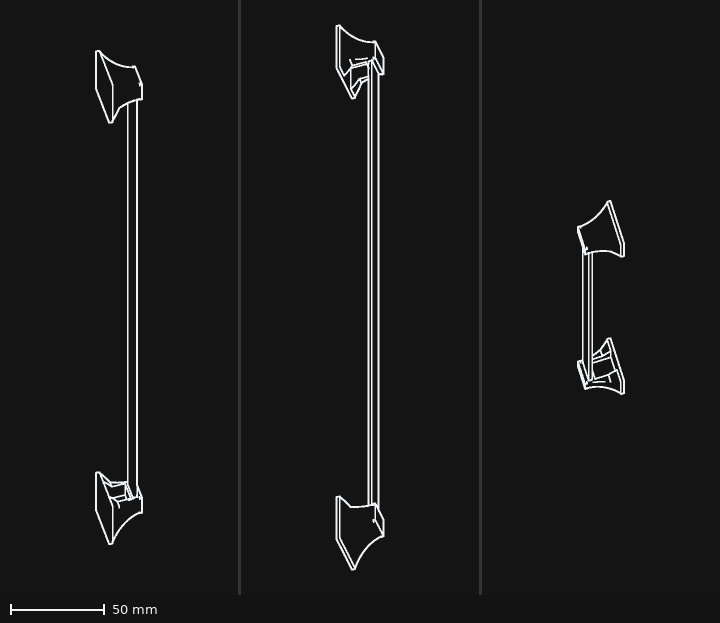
import cadquery as cq

RAIL_LENGTH = 393.7
RAIL_DEPTH = 20.0

PLATE_WIDTH = 25.0
PLATE_HEIGHT = 32.5
PLATE_THICKNESS = 2.0
PLATE_CORNER_RADIUS = 0.8
PLATE_EDGE_RADIUS = 0.5

FOOT_INSET = 0.5

POST_END_WIDTH = 13.0
POST_END_OUTER = 2.95
POST_END_INNER = 10.0
INNER_FLARE_DEPTH = 6.5
END_CAP_THICKNESS = 1.0
SIDE_FLARE_SAG = 1.4
OUTER_FLARE_SAG = 2.15
INNER_FLARE_SAG = 0.28
POST_EDGE_RADIUS = 1.0

BAR_WIDTH = 10.5
BAR_THICKNESS = 2.5
BAR_BACK = 17.7
BAR_EDGE_RADIUS = 1.0
SOCKET_DEPTH = 4.0

POCKET_WIDTH = BAR_WIDTH
POCKET_DEPTH = 10.0
POCKET_GAP = 1.0

PLATE_CENTER_Z = (RAIL_LENGTH - PLATE_HEIGHT) / 2
BAR_LENGTH = 2 * (PLATE_CENTER_Z - POST_END_INNER + SOCKET_DEPTH)
BAR_FRONT = BAR_BACK - BAR_THICKNESS
FLARE_END = RAIL_DEPTH - END_CAP_THICKNESS


def make_plate():
    """Upper end plate with rounded edges."""
    return (
        cq.Workplane("XY")
        .box(PLATE_WIDTH, PLATE_THICKNESS, PLATE_HEIGHT, centered=(True, False, True))
        .edges("|Y")
        .fillet(PLATE_CORNER_RADIUS)
        .faces("<Y or >Y")
        .edges()
        .fillet(PLATE_EDGE_RADIUS)
        .translate((0, 0, PLATE_CENTER_Z))
    )


def make_bar():
    """Flat bar with the two long front edges rounded."""
    return (
        cq.Workplane("XY")
        .box(BAR_WIDTH, BAR_THICKNESS, BAR_LENGTH, centered=(True, False, True))
        .translate((0, BAR_FRONT, 0))
        .edges("|Z and <Y")
        .fillet(BAR_EDGE_RADIUS)
    )


def make_side_profile():
    """Post outline across the depth and height, as a block of the full plate width."""
    foot_half_height = PLATE_HEIGHT / 2 - FOOT_INSET
    return (
        cq.Workplane("YZ")
        .moveTo(PLATE_THICKNESS, -foot_half_height)
        .sagittaArc((INNER_FLARE_DEPTH, -POST_END_INNER), -INNER_FLARE_SAG)
        .lineTo(RAIL_DEPTH, -POST_END_INNER)
        .lineTo(RAIL_DEPTH, POST_END_OUTER)
        .sagittaArc((PLATE_THICKNESS, foot_half_height), OUTER_FLARE_SAG)
        .close()
        .extrude(PLATE_WIDTH / 2, both=True)
    )


def make_flare():
    """Body of the post: both flared profiles crossed, with the long edges rounded."""
    foot_half_width = PLATE_WIDTH / 2 - FOOT_INSET
    width_profile = (
        cq.Workplane("XY")
        .moveTo(-foot_half_width, PLATE_THICKNESS)
        .lineTo(foot_half_width, PLATE_THICKNESS)
        .sagittaArc((POST_END_WIDTH / 2, FLARE_END), SIDE_FLARE_SAG)
        .lineTo(-POST_END_WIDTH / 2, FLARE_END)
        .sagittaArc((-foot_half_width, PLATE_THICKNESS), SIDE_FLARE_SAG)
        .close()
        .extrude(PLATE_HEIGHT / 2, both=True)
    )
    flare = width_profile.intersect(make_side_profile())
    return flare.edges("not(<Y or >Y or |X)").fillet(POST_EDGE_RADIUS)


def make_end_cap():
    """Square-edged slab that closes the back of the flare."""
    slab = (
        cq.Workplane("XY")
        .box(POST_END_WIDTH, END_CAP_THICKNESS, PLATE_HEIGHT, centered=(True, False, True))
        .translate((0, FLARE_END, 0))
    )
    return slab.intersect(make_side_profile())


def make_pocket():
    """Cutter that opens through the inner face and runs down to the plate."""
    pocket_length = BAR_FRONT - POCKET_GAP - PLATE_THICKNESS
    pocket_top = POCKET_DEPTH - POST_END_INNER
    cutter_height = PLATE_HEIGHT / 2 + pocket_top
    return (
        cq.Workplane("XY")
        .box(POCKET_WIDTH, pocket_length, cutter_height, centered=(True, False, False))
        .translate((0, PLATE_THICKNESS, pocket_top - cutter_height))
    )


def make_post(bar):
    """Upper post: flare and end cap, with the pocket and the bar socket cut in the inner face."""
    post = make_flare().union(make_end_cap()).cut(make_pocket())
    return post.translate((0, 0, PLATE_CENTER_Z)).cut(bar)


bar = make_bar()
plate = make_plate()
post = make_post(bar)
bodies = [bar.val()]
for upper_body in (plate, post):
    lower_body = upper_body.mirror("XY")
    bodies.append(upper_body.val())
    bodies.append(lower_body.val())

result = cq.Compound.makeCompound(bodies)